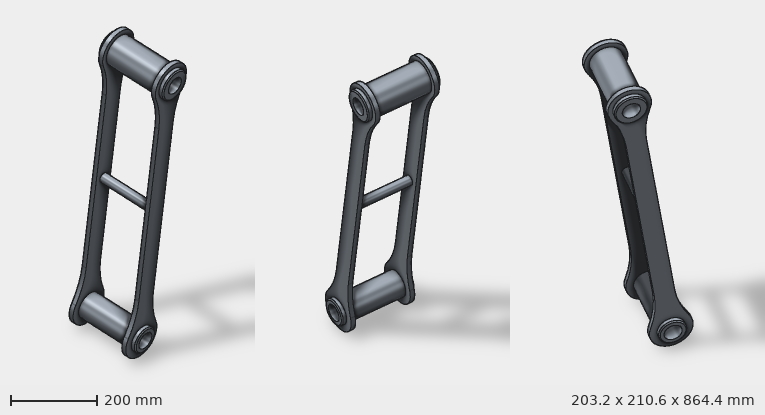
import cadquery as cq
import math

WIDTH_X = 203.2
DEPTH_Y = 210.57
HEIGHT_Z = 864.41

EYE_DIAMETER = 107.95
BAR_WIDTH = 50.8
NECK_RADIUS = 228.6
PLATE_THICKNESS = 12.7
PLATE_INSET = 12.7

UPPER_TUBE_DIAMETER = 82.55
LOWER_TUBE_DIAMETER = 69.85
BORE_DIAMETER = 44.45
TUBE_END_CHAMFER = 3.175
TIE_ROD_DIAMETER = 25.4

EYE_SPAN_Y = DEPTH_Y - EYE_DIAMETER
EYE_SPAN_Z = HEIGHT_Z - EYE_DIAMETER
EYE_SPACING = math.hypot(EYE_SPAN_Y, EYE_SPAN_Z)
LEAN_ANGLE = math.degrees(math.atan2(EYE_SPAN_Y, EYE_SPAN_Z))
UPPER_EYE = (EYE_SPAN_Y / 2, EYE_SPAN_Z / 2)
LOWER_EYE = (-EYE_SPAN_Y / 2, -EYE_SPAN_Z / 2)

PLATE_OUTER_X = WIDTH_X / 2 - PLATE_INSET
PLATE_INNER_X = PLATE_OUTER_X - PLATE_THICKNESS


def cylinder_along_x(diameter, length, center=(0, 0)):
    """Cylinder parallel to X, centred on x = 0, at the given (y, z)."""
    return (
        cq.Workplane("YZ", origin=(-length / 2, 0, 0))
        .center(*center)
        .circle(diameter / 2)
        .extrude(length)
    )


def side_plate(start_x):
    """Link plate with concave necks tangent to the eyes and to the bar edges."""
    eye_radius = EYE_DIAMETER / 2
    half_bar = BAR_WIDTH / 2
    half_spacing = EYE_SPACING / 2

    neck_across = half_bar + NECK_RADIUS
    neck_center_distance = eye_radius + NECK_RADIUS
    neck_along = math.sqrt(neck_center_distance**2 - neck_across**2)

    eye_share = eye_radius / neck_center_distance
    eye_y = neck_across * eye_share
    eye_z = half_spacing - neck_along * eye_share
    bar_z = half_spacing - neck_along
    mid_angle = math.atan2(neck_along, neck_across) / 2
    mid_y = neck_across - NECK_RADIUS * math.cos(mid_angle)
    mid_z = bar_z + NECK_RADIUS * math.sin(mid_angle)
    tip_z = half_spacing + eye_radius

    upright_plate = (
        cq.Workplane("YZ", origin=(start_x, 0, 0))
        .moveTo(half_bar, -bar_z)
        .lineTo(half_bar, bar_z)
        .threePointArc((mid_y, mid_z), (eye_y, eye_z))
        .threePointArc((0, tip_z), (-eye_y, eye_z))
        .threePointArc((-mid_y, mid_z), (-half_bar, bar_z))
        .lineTo(-half_bar, -bar_z)
        .threePointArc((-mid_y, -mid_z), (-eye_y, -eye_z))
        .threePointArc((0, -tip_z), (eye_y, -eye_z))
        .threePointArc((mid_y, -mid_z), (half_bar, -bar_z))
        .close()
        .extrude(PLATE_THICKNESS)
    )
    return upright_plate.rotate((0, 0, 0), (1, 0, 0), -LEAN_ANGLE)


def cross_tube(diameter, center):
    """Tube body, still solid, with chamfered outer end edges."""
    return cylinder_along_x(diameter, WIDTH_X, center).edges().chamfer(TUBE_END_CHAMFER)


def tie_rod():
    """Plain rod between the plates at mid-length of the bars."""
    return cylinder_along_x(TIE_ROD_DIAMETER, 2 * PLATE_INNER_X)


link = side_plate(-PLATE_OUTER_X).union(side_plate(PLATE_INNER_X))
link = link.union(tie_rod())
link = link.union(cross_tube(UPPER_TUBE_DIAMETER, UPPER_EYE))
link = link.union(cross_tube(LOWER_TUBE_DIAMETER, LOWER_EYE))

for eye in (UPPER_EYE, LOWER_EYE):
    link = link.cut(cylinder_along_x(BORE_DIAMETER, WIDTH_X, eye))

result = link